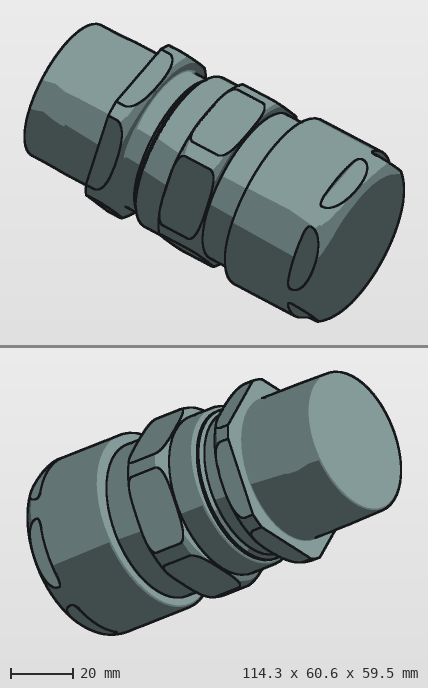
import cadquery as cq
import math


HEX_SIDES = 6
HEX_ACROSS_FLATS = 54.9
HEX_CORNER_DIA = 60.6

TIP_DIA = 47.3
TIP_ROUND = 0.9
THREAD_DIA = 47.9
TAPER_END = 14.0
COLLAR_START = 28.6
COLLAR_LENGTH = 8.0
COLLAR_ROUND = 4.9
FRONT_ROOT_RADIUS = 0.51
BACK_ROOT_RADIUS = 0.9
SHANK_DIA = 48.2
COLLAR_END = COLLAR_START + COLLAR_LENGTH

SEAL_START = 43.1
SEAL_DIA = 50.7
SEAL_CONE_LENGTH = 1.4
SEAL_LENGTH = 2.1

BODY_START = SEAL_START + SEAL_LENGTH
BODY_DIA = 54.0
BODY_EDGE_ROUND = 1.0
BODY_HEX_START = 55.2
BODY_HEX_LENGTH = 15.7
BODY_HEX_ROUND = 3.1
SPIGOT_DIA = 52.2
BODY_HEX_END = BODY_HEX_START + BODY_HEX_LENGTH

CAP_START = 81.4
CAP_END = 114.3
CAP_DIA = 59.5
CAP_REAR_ROUND = 1.0
CAP_NOSE_ROUND = 7.0
CAP_FLATS_START = 105.8
CAP_FLATS_ROOT_RADIUS = 1.1

SHANK_END = BODY_HEX_START
SPIGOT_END = CAP_FLATS_START


def cylinder(diameter, start, end):
    """Solid cylinder about X from start to end."""
    return cq.Workplane("YZ", origin=(start, 0, 0)).circle(diameter / 2).extrude(end - start)


def hex_bar(start, end):
    """Hexagonal bar about X with flats facing +Z and -Z and corners at +Y and -Y."""
    across_corners = HEX_ACROSS_FLATS / math.cos(math.pi / HEX_SIDES)
    return cq.Workplane("YZ", origin=(start, 0, 0)).polygon(HEX_SIDES, across_corners).extrude(end - start)


def concave_root(face, diameter, reach):
    """Concave fillet between a face at X = face and a cylinder; a negative reach runs towards -X."""
    cylinder_radius = diameter / 2
    radius = abs(reach)
    arc_share = 1 - math.sqrt(0.5)
    return (
        cq.Workplane("XY")
        .moveTo(face, 0)
        .lineTo(face, cylinder_radius + radius)
        .threePointArc(
            (face + reach * arc_share, cylinder_radius + radius * arc_share),
            (face + reach, cylinder_radius),
        )
        .lineTo(face + reach, 0)
        .close()
        .revolve(360, (0, 0, 0), (1, 0, 0))
    )


def make_entry_adaptor():
    tapered_thread = (
        cq.Workplane("XY")
        .polyline([
            (0, 0),
            (0, TIP_DIA / 2),
            (TAPER_END, THREAD_DIA / 2),
            (COLLAR_START, THREAD_DIA / 2),
            (COLLAR_START, 0),
        ])
        .close()
        .revolve(360, (0, 0, 0), (1, 0, 0))
        .faces("<X").edges().fillet(TIP_ROUND)
    )
    shank = cylinder(SHANK_DIA, COLLAR_START, SHANK_END)

    collar = cylinder(HEX_CORNER_DIA, COLLAR_START, COLLAR_END).faces(">X").edges().fillet(COLLAR_ROUND)
    collar = collar.intersect(hex_bar(COLLAR_START, COLLAR_END))

    front_root = concave_root(COLLAR_START, THREAD_DIA, -FRONT_ROOT_RADIUS)
    back_root = concave_root(COLLAR_END, SHANK_DIA, BACK_ROOT_RADIUS)
    return tapered_thread.union(shank).union(collar).union(front_root).union(back_root)


def make_seal_ring():
    shank_radius = SHANK_DIA / 2
    seal_radius = SEAL_DIA / 2
    return (
        cq.Workplane("XY")
        .polyline([
            (SEAL_START, shank_radius),
            (SEAL_START + SEAL_CONE_LENGTH, seal_radius),
            (BODY_START, seal_radius),
            (BODY_START, shank_radius),
        ])
        .close()
        .revolve(360, (0, 0, 0), (1, 0, 0))
    )


def make_gland_body():
    barrel = cylinder(BODY_DIA, BODY_START, BODY_HEX_START).faces("<X").edges().fillet(BODY_EDGE_ROUND)
    hexagon = cylinder(HEX_CORNER_DIA, BODY_HEX_START, BODY_HEX_END).edges().fillet(BODY_HEX_ROUND)
    hexagon = hexagon.intersect(hex_bar(BODY_HEX_START, BODY_HEX_END))
    spigot = cylinder(SPIGOT_DIA, BODY_HEX_END, SPIGOT_END)
    shank_socket = cylinder(SHANK_DIA, BODY_START, SHANK_END)
    return barrel.union(hexagon).union(spigot).cut(shank_socket)


def make_cap_nut():
    cap = (
        cylinder(CAP_DIA, CAP_START, CAP_END)
        .faces("<X").edges().fillet(CAP_REAR_ROUND)
        .faces(">X").edges().fillet(CAP_NOSE_ROUND)
    )

    root_end = CAP_FLATS_START + CAP_FLATS_ROOT_RADIUS
    flat_height = HEX_ACROSS_FLATS / 2
    root_top = flat_height + CAP_FLATS_ROOT_RADIUS
    cutter_top = CAP_DIA
    arc_offset = CAP_FLATS_ROOT_RADIUS * (1 - math.sqrt(0.5))
    flat_cutter = (
        cq.Workplane("XZ")
        .moveTo(CAP_FLATS_START, cutter_top)
        .lineTo(CAP_FLATS_START, root_top)
        .threePointArc((CAP_FLATS_START + arc_offset, flat_height + arc_offset), (root_end, flat_height))
        .lineTo(CAP_END, flat_height)
        .lineTo(CAP_END, cutter_top)
        .close()
        .extrude(CAP_DIA / 2, both=True)
    )
    for index in range(HEX_SIDES):
        cap = cap.cut(flat_cutter.rotate((0, 0, 0), (1, 0, 0), index * 360 / HEX_SIDES))

    spigot_socket = cylinder(SPIGOT_DIA, CAP_START, SPIGOT_END)
    return cap.cut(spigot_socket)


entry_adaptor = make_entry_adaptor()
seal_ring = make_seal_ring()
gland_body = make_gland_body()
cap_nut = make_cap_nut()

result = cq.Compound.makeCompound([
    entry_adaptor.val(),
    seal_ring.val(),
    gland_body.val(),
    cap_nut.val(),
])